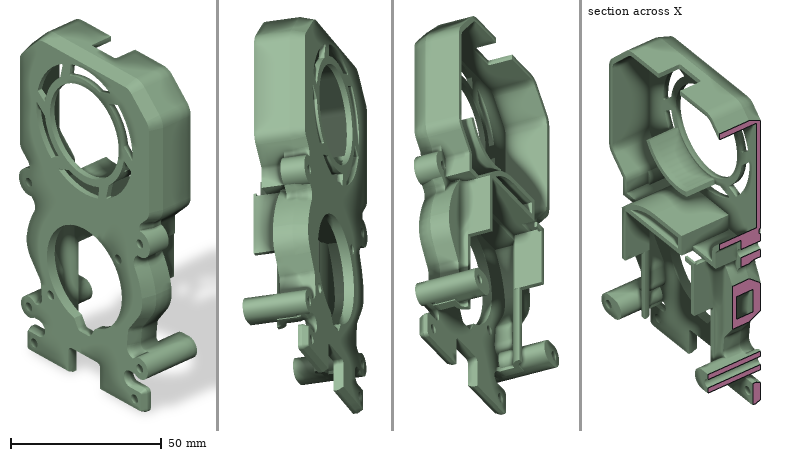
import cadquery as cq
import math


taper_depth = 5.0
lug_depth = 8.4
body_depth = 11.9
rim_depth = 13.9
box_depth = 17.3
total_depth = 22.0
plate_thickness = 3.5
box_plate_thickness = 2.0
foot_bevel_depth = 2.0

wall = 1.9
taper_inset = 1.5
foot_bevel_inset = 1.0

height = 123.8
overall_width = 67.0
box_half_width = overall_width / 2
box_chamfer = 10.9
box_round = 6.0
box_low_corner_z = 76.5
neck_z = 61.7
front_neck_x = 28.7
back_neck_x = 25.6
front_neck_round = 1.5
back_neck_round = 1.9

fan_z = 96.6
fan_diameter = 34.0
vent_inner_radius = 19.7
vent_outer_radius = 23.9
vent_count = 6
vent_round = 0.4
top_notch_width = 11.9
top_notch_front = 8.5
top_notch_round = 0.6
collar_inner_radius = 17.7
collar_start_angle = -105
collar_end_angle = -27

bore_z = 40.5
bore_radius = 18.6
bore_notch_top_x = 5.5
bore_notch_top_z = 23.3
bore_notch_low_x = 2.8
bore_notch_low_z = 18.8
bore_notch_round = 1.5
bore_notch_inner_x = 2.5
body_radius = 30.3
body_arc_low_z = 44.8
side_radius = 12.9
side_end_angle = 39
waist_top_x = 23.2
waist_top_z = 29.2
waist_low_x = 22.3
waist_top_round = 2.2
waist_low_round = 1.9
body_bottom_z = 12.9
under_lug_z = 55.7
under_lug_slope = 1.7
under_lug_round = 2.2
post_tie_x = 25.6

screw_x = 27.5
lug_z = 65.1
lug_radius = 5.0
post_z = 17.2
post_radius = 4.0
post_inner_x = 24.4
screw_diameter = 3.2
foot_hole_diameter = 3.3
foot_hole_x = 24.9
foot_hole_z = 4.5
pin_hole_x = 16.7
pin_hole_rise = 14.1
blind_hole_depth = 2.5

foot_half_width = 29.1
foot_height = 9.0
foot_round = 1.5
slot_end_x = 20.5
foot_notch_half_width = 7.8
foot_notch_z = 10.5
foot_notch_round = 1.5

rim_inner_x = 18.2
bend_radius = 2.0
rim_tall_bottom_z = 40.9
lip_end_x = 15.0
lip_thickness = 0.9
lip_top_z = 62.5
lip_height = 1.9
bridge_front = 2.5
bridge_left_x = -13.0
bridge_peak_x = 2.0
bridge_right_x = 20.3
bridge_top_z = 69.8


def front_plane(y):
    """Sketch plane parallel to the front face, with sketch axes X and Z."""
    return cq.Workplane("XZ", origin=(0, y, 0))


def prism(sketch, depth):
    """Extrude a front-plane sketch towards the back."""
    return sketch.extrude(-depth)


def box(x0, x1, y0, y1, z0, z1):
    return cq.Workplane("XY").box(x1 - x0, y1 - y0, z1 - z0, centered=False).translate((x0, y0, z0))


def cylinder(x, z, radius, y0, y1):
    return prism(front_plane(y0).center(x, z).circle(radius), y1 - y0)


def both_sides(solid):
    return solid.union(solid.mirror("YZ"))


def draw_path(sketch, steps):
    """Draw steps of (corner x, corner z, round radius) or (arc midpoint, arc end) from the first point."""
    sketch = sketch.moveTo(*steps[0][:2])
    for before, step, after in zip(steps, steps[1:], steps[2:] + steps[:1]):
        if isinstance(step[0], tuple):
            sketch = sketch.threePointArc(*step)
            continue
        x, z, radius = step
        if not radius:
            sketch = sketch.lineTo(x, z)
            continue
        corner = cq.Vector(x, z)
        start = before[1] if isinstance(before[0], tuple) else before[:2]
        back = (cq.Vector(*start) - corner).normalized()
        ahead = (cq.Vector(*after[:2]) - corner).normalized()
        half_angle = back.getAngle(ahead) / 2
        reach = radius / math.tan(half_angle)
        middle = corner + (back + ahead).normalized() * (radius / math.sin(half_angle) - radius)
        first = corner + back * reach
        last = corner + ahead * reach
        sketch = sketch.lineTo(first.x, first.y).threePointArc((middle.x, middle.y), (last.x, last.y))
    return sketch.close()


def symmetric(steps):
    """Close a left-hand path, running from top to bottom, with its mirror image."""
    starts = [step[1] if isinstance(step[0], tuple) else step[:2] for step in steps]
    mirrored = []
    for index in range(len(steps) - 1, -1, -1):
        step = steps[index]
        following = steps[index + 1] if index + 1 < len(steps) else None
        if following and isinstance(following[0], tuple):
            middle = following[0]
            mirrored.append(((-middle[0], middle[1]), (-starts[index][0], starts[index][1])))
        elif isinstance(step[0], tuple):
            mirrored.append((-step[1][0], step[1][1], 0))
        else:
            mirrored.append((-step[0], step[1], step[2]))
    return steps + [step for step in mirrored if step != steps[0]]


def circle_point(radius, center, angle):
    turn = math.radians(angle)
    return (center[0] + radius * math.cos(turn), center[1] + radius * math.sin(turn))


def box_steps(neck_x, round_radius):
    """Left side of the fan box from the top edge to the neck."""
    diagonal = box_half_width - neck_x
    return [
        (0, height, 0),
        (-box_half_width + box_chamfer, height, box_round),
        (-box_half_width, height - box_chamfer, box_round),
        (-box_half_width, box_low_corner_z, box_round),
        (-neck_x, box_low_corner_z - diagonal, round_radius),
    ]


def bulge_steps(top_z):
    """Left side of the lower body: arc about the bore, tighter tangent arc, then the waist."""
    bore_center = (0, bore_z)
    start_angle = 180 - math.degrees(math.asin((top_z - bore_z) / body_radius))
    join_angle = 180 - math.degrees(math.asin((body_arc_low_z - bore_z) / body_radius))
    side_center = circle_point(body_radius - side_radius, bore_center, join_angle)
    end_angle = 180 + side_end_angle
    start = circle_point(body_radius, bore_center, start_angle)
    return [
        (*start, 0),
        (
            circle_point(body_radius, bore_center, (start_angle + join_angle) / 2),
            circle_point(body_radius, bore_center, join_angle),
        ),
        (
            circle_point(side_radius, side_center, (join_angle + end_angle) / 2),
            circle_point(side_radius, side_center, end_angle),
        ),
        (-waist_top_x, waist_top_z, waist_top_round),
        (-waist_low_x, post_z + post_radius, waist_low_round),
        (-post_tie_x, post_z + post_radius, 0),
        (-post_tie_x, body_bottom_z, 0),
    ]


def front_shell():
    """Whole outline of box and body, tapering in towards the front face."""
    arc_start = math.asin((under_lug_z - bore_z) / body_radius)
    corner_x = body_radius * math.cos(arc_start) - under_lug_slope * math.sin(arc_start)
    corner_z = under_lug_z + under_lug_slope * math.cos(arc_start)
    steps = box_steps(front_neck_x, front_neck_round)
    steps.append((-front_neck_x, corner_z + front_neck_x - corner_x, 0))
    steps.append((-corner_x, corner_z, under_lug_round))
    steps += bulge_steps(under_lug_z)
    outline = symmetric(steps)
    straight = prism(draw_path(front_plane(taper_depth), outline), lug_depth - taper_depth)
    angle = math.degrees(math.atan(taper_inset / taper_depth))
    tapered = draw_path(front_plane(taper_depth), outline).extrude(taper_depth, taper=angle)
    return straight.union(tapered)


box_outline = symmetric(box_steps(back_neck_x, back_neck_round) + [(-back_neck_x, neck_z, 0)])
body_outline = symmetric(bulge_steps(neck_z))


def back_shell():
    upper = prism(draw_path(front_plane(lug_depth), box_outline), box_depth - lug_depth)
    lower = prism(draw_path(front_plane(lug_depth), body_outline), body_depth - lug_depth)
    return upper.union(lower)


def cavities():
    """Hollows of the box and the body, and the gap in the body's back skin and bottom wall."""
    upper = draw_path(front_plane(box_plate_thickness), box_outline).offset2D(-wall)
    lower = draw_path(front_plane(plate_thickness), body_outline).offset2D(-wall)
    back_skin = body_depth - wall
    opening_x = rim_inner_x + wall + bend_radius
    gap = box(-opening_x, opening_x, plate_thickness, body_depth, 0, neck_z - wall)
    gap = gap.cut(box(-opening_x, opening_x, 0, back_skin, body_bottom_z + wall, height))
    return prism(upper, box_depth).union(prism(lower, back_skin - plate_thickness)).union(gap)


def lugs_and_posts():
    lug = cylinder(-screw_x, lug_z, lug_radius, 0, lug_depth)
    post = cylinder(-screw_x, post_z, post_radius, 0, total_depth)
    web = box(
        -screw_x, -post_inner_x, taper_depth, total_depth, post_z - post_radius, post_z + post_radius
    )
    web = web.union(cylinder(-post_inner_x, post_z, post_radius, taper_depth, total_depth))
    return both_sides(lug.union(post).union(web))


def foot():
    """Thin plate below the body, with a round-ended slot under each post and a bevelled front edge."""
    slot_top_z = post_z - post_radius
    slot_radius = (slot_top_z - foot_height) / 2
    steps = [
        (0, post_z, 0),
        (-screw_x, post_z, 0),
        (-screw_x, slot_top_z, 0),
        (-slot_end_x - slot_radius, slot_top_z, 0),
        ((-slot_end_x, foot_height + slot_radius), (-slot_end_x - slot_radius, foot_height)),
        (-foot_half_width, foot_height, foot_round),
        (-foot_half_width, 0, foot_round),
    ]
    outline = symmetric(steps)
    flat = prism(
        draw_path(front_plane(foot_bevel_depth), outline), plate_thickness - foot_bevel_depth
    )
    angle = math.degrees(math.atan(foot_bevel_inset / foot_bevel_depth))
    bevelled = draw_path(front_plane(foot_bevel_depth), outline).extrude(
        foot_bevel_depth, taper=angle
    )
    return flat.union(bevelled)


def back_rim():
    """Walls behind the bore, each bent out of the back skin; the left one ends in a lip."""
    outer_x = rim_inner_x + wall
    bend_x = outer_x + bend_radius
    bend_y = body_depth + bend_radius
    skin_y = body_depth - wall
    diagonal = math.sqrt(0.5)
    outer_bend = bend_radius + wall
    bend = (
        cq.Workplane("XY", origin=(0, 0, body_bottom_z))
        .moveTo(-rim_inner_x, bend_y)
        .threePointArc(
            (-bend_x + outer_bend * diagonal, bend_y - outer_bend * diagonal), (-bend_x, skin_y)
        )
        .lineTo(-bend_x, body_depth)
        .threePointArc(
            (-bend_x + bend_radius * diagonal, bend_y - bend_radius * diagonal), (-outer_x, bend_y)
        )
        .close()
        .extrude(neck_z - body_bottom_z)
    )
    tall = box(-outer_x, -rim_inner_x, rim_depth - wall, total_depth, rim_tall_bottom_z, neck_z)
    lip = box(
        -outer_x,
        -lip_end_x,
        total_depth - lip_thickness,
        total_depth,
        lip_top_z - lip_height,
        lip_top_z,
    )
    return both_sides(bend.union(tall)).union(lip)


def bridge():
    """Open-backed block between the fan box and the bore, falling away to the right in an arc."""
    reach = bridge_right_x - bridge_peak_x
    drop = bridge_top_z - neck_z
    radius = (reach**2 + drop**2) / (2 * drop)
    half_turn = 90 - math.degrees(math.asin(reach / radius)) / 2
    steps = [
        (bridge_left_x, neck_z, 0),
        (bridge_left_x, bridge_top_z, 0),
        (bridge_peak_x, bridge_top_z, 0),
        (
            circle_point(radius, (bridge_peak_x, bridge_top_z - radius), half_turn),
            (bridge_right_x, neck_z),
        ),
    ]
    outside = prism(draw_path(front_plane(bridge_front), steps), total_depth - bridge_front)
    inside = prism(draw_path(front_plane(plate_thickness), steps).offset2D(-wall), total_depth)
    return outside.cut(inside)


def fan_collar():
    """Arc wall behind the lower right edge of the fan opening."""
    center = (0, fan_z)
    inner = collar_inner_radius
    outer = inner + wall
    middle_angle = (collar_start_angle + collar_end_angle) / 2
    return prism(
        front_plane(box_plate_thickness)
        .moveTo(*circle_point(inner, center, collar_start_angle))
        .threePointArc(
            circle_point(inner, center, middle_angle), circle_point(inner, center, collar_end_angle)
        )
        .lineTo(*circle_point(outer, center, collar_end_angle))
        .threePointArc(
            circle_point(outer, center, middle_angle),
            circle_point(outer, center, collar_start_angle),
        )
        .close(),
        rim_depth - box_plate_thickness,
    )


def vents():
    """Ring of swept slots around the fan opening."""
    center = (0, fan_z)
    inner_start, inner_end = 112.0, 67.5
    outer_start, outer_end = 106.5, 56.5
    slot = prism(
        front_plane(0)
        .moveTo(*circle_point(vent_inner_radius, center, inner_start))
        .threePointArc(
            circle_point(vent_inner_radius, center, (inner_start + inner_end) / 2),
            circle_point(vent_inner_radius, center, inner_end),
        )
        .lineTo(*circle_point(vent_outer_radius, center, outer_end))
        .threePointArc(
            circle_point(vent_outer_radius, center, (outer_start + outer_end) / 2),
            circle_point(vent_outer_radius, center, outer_start),
        )
        .close(),
        box_plate_thickness,
    ).edges("|Y").fillet(vent_round)
    ring = cq.Workplane("XY")
    for index in range(vent_count):
        ring = ring.add(slot.rotate((0, 0, fan_z), (0, 1, fan_z), index * 360 / vent_count))
    return ring.combine()


def bore():
    """Round bore with a tapered notch at its lower edge."""
    notch_steps = [
        (-bore_notch_inner_x, bore_z, 0),
        (-bore_notch_top_x, bore_notch_top_z, 0),
        (-bore_notch_low_x, bore_notch_low_z, bore_notch_round),
    ]
    notch = prism(draw_path(front_plane(0), symmetric(notch_steps)), plate_thickness)
    return cylinder(0, bore_z, bore_radius, 0, plate_thickness).union(notch)


def screw_holes():
    """Screw holes on both sides, and two pin holes of which the upper right one is blind."""
    radius = screw_diameter / 2
    holes = cylinder(-screw_x, lug_z, radius, 0, total_depth)
    holes = holes.union(cylinder(-screw_x, post_z, radius, 0, total_depth))
    holes = holes.union(
        cylinder(-foot_hole_x, foot_hole_z, foot_hole_diameter / 2, 0, plate_thickness)
    )
    holes = both_sides(holes)
    pin_radius = foot_hole_diameter / 2
    low_pin = cylinder(-pin_hole_x, bore_z - pin_hole_rise, pin_radius, 0, plate_thickness)
    high_pin = cylinder(pin_hole_x, bore_z + pin_hole_rise, pin_radius, 0, blind_hole_depth)
    return holes.union(low_pin).union(high_pin)


def foot_notch():
    half = foot_notch_half_width
    notch = box(-half, half, -wall, plate_thickness + wall, -wall, foot_notch_z)
    return notch.edges("|Y and >Z").fillet(foot_notch_round)


def top_notch():
    half = top_notch_width / 2
    notch = box(-half, half, top_notch_front, box_depth, height - 2 * wall, height)
    return notch.edges("|Z and <Y").fillet(top_notch_round)


result = front_shell().union(back_shell()).cut(cavities())
result = result.union(foot()).union(lugs_and_posts())
result = result.union(back_rim()).union(bridge()).union(fan_collar())
fan_hole = cylinder(0, fan_z, fan_diameter / 2, 0, box_plate_thickness)
for opening in (fan_hole, vents(), bore(), screw_holes(), foot_notch(), top_notch()):
    result = result.cut(opening)